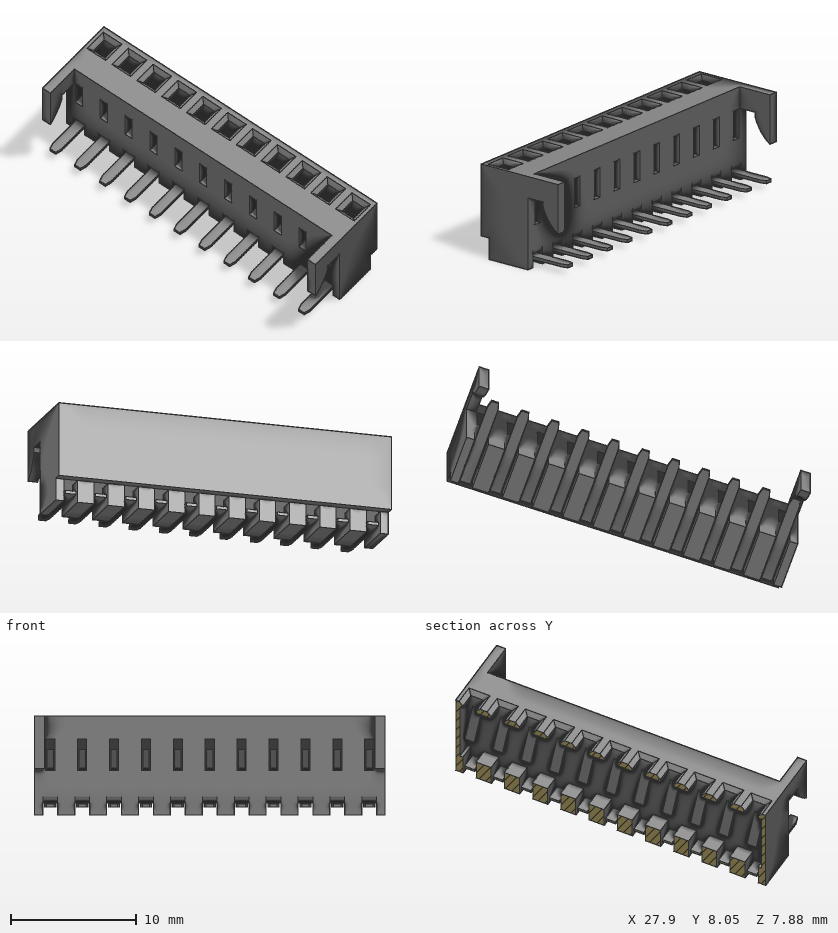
import cadquery as cq
import math

length = 27.85
height = 7.88
total_depth = 8.05
pin_count = 11
pitch = 2.53

body_depth = 4.73
rear_step_depth = 0.8
rear_step_height = 1.8

ear_width = 0.8
ear_reach = 7.8
ear_underside = 6.07
hook_start_depth = 6.3
hook_start_height = 5.65
hook_mid_depth = 6.85
hook_mid_height = 4.6
hook_tip_height = 3.7

cavity_width = 1.17
cavity_depth = 1.35
cavity_front = rear_step_depth + cavity_depth
funnel_flare = 0.35
neck_height = 0.28
channel_end_wall = 0.4

notch_height = 0.97
notch_round = 0.47

window_width = 0.72
window_bottom = 3.55
window_top = 6.05

pin_width = 0.9
pin_bottom = 0.65
metal = 0.25
tip_width = 0.58
tip_length = 0.55
strip_top = 6.68
spring_width = 0.84
spring_top = 6.4
spring_drop = 2.5
lance_width = 0.5
lance_top = 5.2
lance_drop = 1.45
lance_reach = 0.58
leaf_bevel = 0.17

pin_positions = [(i - (pin_count - 1) / 2) * pitch for i in range(pin_count)]


def block(x_center, width, depth_near, depth_far, z_low, z_high):
    """Box centred on x_center, between two distances in front of the rear face."""
    return cq.Workplane("XY").box(
        width, depth_far - depth_near, z_high - z_low, centered=(True, False, False)
    ).translate((x_center, -depth_far, z_low))


def side_sketch(x_center, width):
    """Sketch plane for (Y, Z) profiles that are extruded over width in +X."""
    return cq.Workplane("YZ", origin=(x_center - width / 2, 0, 0))


def make_housing():
    lower_body = block(0, length, rear_step_depth, body_depth, 0, rear_step_height)
    upper_body = block(0, length, 0, body_depth, rear_step_height, height)
    return lower_body.union(upper_body)


def make_ear(x_center):
    return (
        side_sketch(x_center, ear_width)
        .moveTo(-cavity_front, height)
        .lineTo(-ear_reach, height)
        .lineTo(-ear_reach, hook_tip_height)
        .threePointArc((-hook_mid_depth, hook_mid_height), (-hook_start_depth, hook_start_height))
        .lineTo(-hook_start_depth, ear_underside)
        .lineTo(-cavity_front, ear_underside)
        .close()
        .extrude(ear_width)
    )


def make_cavity(x_center):
    shaft = block(x_center, cavity_width, rear_step_depth, cavity_front, 0, height)
    mouth = (
        cq.Workplane("XY", origin=(x_center, -(rear_step_depth + cavity_front) / 2, height))
        .rect(cavity_width + 2 * funnel_flare, cavity_depth + 2 * funnel_flare)
        .workplane(offset=-funnel_flare)
        .rect(cavity_width, cavity_depth)
        .loft(ruled=True)
    )
    return shaft.union(mouth)


def make_channel():
    """Common channel that joins all cavities below their necks."""
    channel_length = length - 2 * channel_end_wall
    channel_top = height - funnel_flare - neck_height
    return block(0, channel_length, rear_step_depth, cavity_front, rear_step_height, channel_top)


def make_notch(x_center):
    """Through notch whose ceiling rounds up into the front face."""
    return (
        side_sketch(x_center, cavity_width)
        .moveTo(-rear_step_depth, 0)
        .lineTo(-body_depth, 0)
        .lineTo(-body_depth, notch_height + notch_round)
        .radiusArc((-body_depth + notch_round, notch_height), -notch_round)
        .lineTo(-rear_step_depth, notch_height)
        .close()
        .extrude(cavity_width)
    )


def make_window(x_center):
    return block(x_center, window_width, cavity_front, body_depth, window_bottom, window_top)


def make_pin(x_center):
    """Flat solder pin with a tapered tip."""
    half_width = pin_width / 2
    half_tip = tip_width / 2
    taper_start = -total_depth + tip_length
    return (
        cq.Workplane("XY", origin=(x_center, 0, pin_bottom))
        .polyline([
            (-half_width, -rear_step_depth),
            (-half_width, taper_start),
            (-half_tip, -total_depth),
            (half_tip, -total_depth),
            (half_width, taper_start),
            (half_width, -rear_step_depth),
        ])
        .close()
        .extrude(metal)
    )


def make_sloped_leaf(x_center, width, root, root_height, reach, drop):
    """Leaf falling from its root to a bevelled tip; a negative reach points to the rear."""
    direction = math.copysign(1, reach)
    steepness = drop / abs(reach)
    tip = root + reach
    tip_height = root_height - drop
    bevel_end = tip - direction * leaf_bevel
    bevel_height = tip_height - leaf_bevel
    underside_root_height = bevel_height + steepness * abs(bevel_end - root)
    return (
        side_sketch(x_center, width)
        .polyline([
            (-root, root_height),
            (-tip, tip_height),
            (-bevel_end, bevel_height),
            (-root, underside_root_height),
        ])
        .close()
        .extrude(width)
    )


def make_contact(x_center):
    """Pin, upright strip in the front wall, contact spring and locking lance."""
    strip_front = cavity_front + metal
    strip = block(x_center, pin_width, cavity_front, strip_front, pin_bottom, strip_top)
    spring = make_sloped_leaf(
        x_center, spring_width, cavity_front, spring_top, -cavity_depth, spring_drop
    )
    lance = make_sloped_leaf(
        x_center, lance_width, strip_front, lance_top, lance_reach, lance_drop
    )
    return make_pin(x_center).union(strip).union(spring).union(lance)


result = make_housing()
for side in (-1, 1):
    result = result.union(make_ear(side * (length - ear_width) / 2))
result = result.cut(make_channel())
for x in pin_positions:
    result = result.cut(make_cavity(x)).cut(make_notch(x)).cut(make_window(x))
for x in pin_positions:
    result = result.union(make_contact(x))